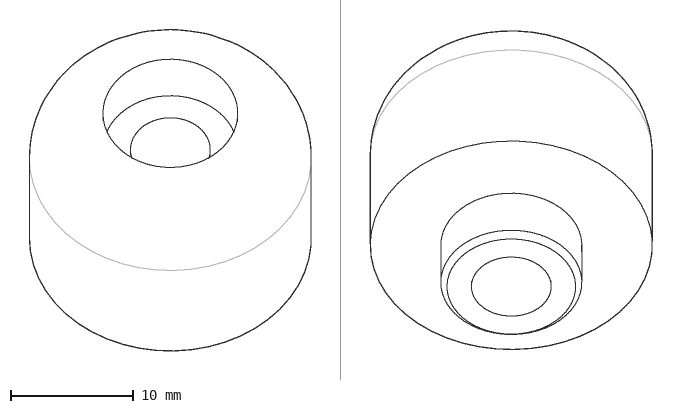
import cadquery as cq

body_diameter = 23.0
body_height = 17.02
spigot_diameter = 11.5
spigot_height = 5.0
spigot_chamfer = 0.5
dome_radius = 6.0
bore_diameter = 6.5
counterbore_depth = 5.0

counterbore_diameter = body_diameter - 2 * dome_radius
total_height = spigot_height + body_height

spigot = (
    cq.Workplane("XY")
    .circle(spigot_diameter / 2)
    .extrude(spigot_height)
    .faces("<Z")
    .chamfer(spigot_chamfer)
)

body = (
    cq.Workplane("XY")
    .workplane(offset=spigot_height)
    .circle(body_diameter / 2)
    .extrude(body_height)
    .faces(">Z")
    .edges()
    .fillet(dome_radius)
)

bore = cq.Workplane("XY").circle(bore_diameter / 2).extrude(total_height)
counterbore = (
    cq.Workplane("XY")
    .workplane(offset=total_height - counterbore_depth)
    .circle(counterbore_diameter / 2)
    .extrude(counterbore_depth)
)

result = body.union(spigot).cut(bore).cut(counterbore)